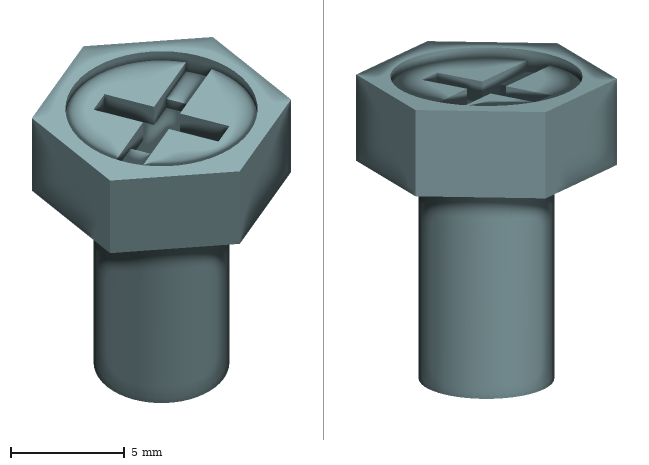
import cadquery as cq
import math

total_height = 14.0
head_height = 4.0
across_flats = 10.0
shank_diameter = 6.0
shank_length = total_height - head_height

dish_diameter = 8.5
dish_depth = 0.5
slot_width = 1.25
cross_length_x = 6.0
cross_length_y = 4.0
cross_depth = 1.0
long_slot_depth = 0.5

across_corners = across_flats / math.cos(math.pi / 6)
dish_floor = total_height - dish_depth


def make_body():
    """Round shank below a hexagonal head with corners on the Y axis."""
    shank = cq.Workplane("XY").circle(shank_diameter / 2).extrude(shank_length)
    head = (
        cq.Workplane("XY")
        .workplane(offset=shank_length)
        .transformed(rotate=(0, 0, 90))
        .polygon(6, across_corners)
        .extrude(head_height)
    )
    return shank.union(head)


def dish_floor_slot(length_x, length_y, depth):
    """Rectangular cutter reaching down from the dish floor."""
    return cq.Workplane("XY").workplane(offset=dish_floor).rect(length_x, length_y).extrude(-depth)


def make_drive_recess():
    """Shallow dish, deep cross and a shallower slot spanning the dish along Y."""
    dish = cq.Workplane("XY").workplane(offset=dish_floor).circle(dish_diameter / 2).extrude(dish_depth)
    cross_bar_x = dish_floor_slot(cross_length_x, slot_width, cross_depth)
    cross_bar_y = dish_floor_slot(slot_width, cross_length_y, cross_depth)
    dish_cylinder = (
        cq.Workplane("XY").workplane(offset=dish_floor).circle(dish_diameter / 2).extrude(-long_slot_depth)
    )
    long_slot = dish_floor_slot(slot_width, dish_diameter, long_slot_depth).intersect(dish_cylinder)
    return dish.union(cross_bar_x).union(cross_bar_y).union(long_slot)


result = make_body().cut(make_drive_recess())